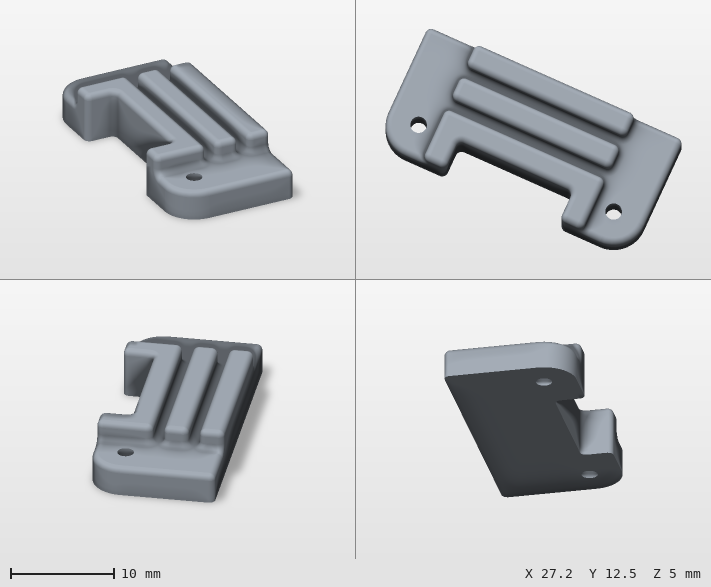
import cadquery as cq

LENGTH = 27.2
DEPTH = 12.5
HEIGHT = 5.0
BASE_HEIGHT = 3.0

EDGE_RADIUS = 0.6
FRONT_CORNER_RADIUS = 3.2

RIDGE_LENGTH = 17.0
RIDGE_WIDTH = 2.4
GROOVE_WIDTH = 1.12

NOTCH_LENGTH = 12.19
NOTCH_DEPTH = 3.1

HOLE_DIAMETER = 1.6

BACK = DEPTH / 2
FRONT = -DEPTH / 2
RIDGE_PITCH = RIDGE_WIDTH + GROOVE_WIDTH
TOLERANCE = 0.003


def block(length, front, back, height):
    """Box centred in X, standing on Z = 0, between two Y positions."""
    return (
        cq.Workplane("XY")
        .center(0, (front + back) / 2)
        .rect(length, back - front)
        .extrude(height)
    )


def edges_in_box(body, lower, upper):
    """Edges lying entirely between two opposite box corners."""
    return body.edges(cq.selectors.BoxSelector(lower, upper, boundingbox=True))


def notch():
    """Front notch with rounded inner corners."""
    notch_back = FRONT + NOTCH_DEPTH
    cutter = block(NOTCH_LENGTH, FRONT - NOTCH_DEPTH, notch_back, HEIGHT)
    return cutter.edges("|Z and >Y").fillet(EDGE_RADIUS)


def base():
    """Low plate with its upright outer corners rounded."""
    plate = block(LENGTH, FRONT, BACK, BASE_HEIGHT)
    plate = plate.edges("|Z and >Y").fillet(EDGE_RADIUS)
    return plate.edges("|Z and <Y").fillet(FRONT_CORNER_RADIUS)


def ridge(front, back):
    """Full-height bar; ends that stand inside the plate get rounded upright corners."""
    bar = block(RIDGE_LENGTH, front, back, HEIGHT)
    if back < BACK:
        bar = bar.edges("|Z and >Y").fillet(EDGE_RADIUS)
    if front > FRONT:
        bar = bar.edges("|Z and <Y").fillet(EDGE_RADIUS)
    return bar


def round_foot(body, front, back):
    """Blend the foot of a ridge into the top of the plate."""
    reach = RIDGE_LENGTH / 2 + TOLERANCE
    foot = edges_in_box(
        body,
        (-reach, front - TOLERANCE, BASE_HEIGHT - TOLERANCE),
        (reach, back + TOLERANCE, BASE_HEIGHT + TOLERANCE),
    )
    return foot.fillet(EDGE_RADIUS)


def cut_notch(body):
    """Cut the notch and round the upright front corners it leaves."""
    notched = body.cut(notch())
    reach = NOTCH_LENGTH / 2 + TOLERANCE
    lips = edges_in_box(
        notched,
        (-reach, FRONT - TOLERANCE, -TOLERANCE),
        (reach, FRONT + TOLERANCE, HEIGHT + TOLERANCE),
    ).edges("|Z")
    return lips.fillet(EDGE_RADIUS)


def upper_edges_on_side(body, side):
    """Edges lying in the front or back side, at or above the top of the plate."""
    reach = LENGTH / 2 + TOLERANCE
    return edges_in_box(
        body,
        (-reach, side - TOLERANCE, BASE_HEIGHT - TOLERANCE),
        (reach, side + TOLERANCE, HEIGHT + TOLERANCE),
    )


def round_rims(body):
    """Round the ridge top and, following tangent edges, the whole outline of the plate top."""
    rims = body.faces(">Z").edges()
    for side in (FRONT, BACK):
        rims = rims.add(upper_edges_on_side(body, side))
    return rims.fillet(EDGE_RADIUS)


def plate_with_ridge(front, back):
    """Plate carrying one ridge, with foot and every upper rim rounded."""
    body = base().union(ridge(front, back))
    return round_rims(cut_notch(round_foot(body, front, back)))


middle_ridge_back = BACK - RIDGE_PITCH
front_ridge_back = BACK - 2 * RIDGE_PITCH

result = plate_with_ridge(BACK - RIDGE_WIDTH, BACK)
result = result.union(plate_with_ridge(middle_ridge_back - RIDGE_WIDTH, middle_ridge_back))
result = result.union(plate_with_ridge(FRONT, front_ridge_back))

hole_x = LENGTH / 2 - FRONT_CORNER_RADIUS
hole_y = FRONT + FRONT_CORNER_RADIUS
holes = (
    cq.Workplane("XY")
    .pushPoints([(-hole_x, hole_y), (hole_x, hole_y)])
    .circle(HOLE_DIAMETER / 2)
    .extrude(HEIGHT)
)
result = result.cut(holes).solids()